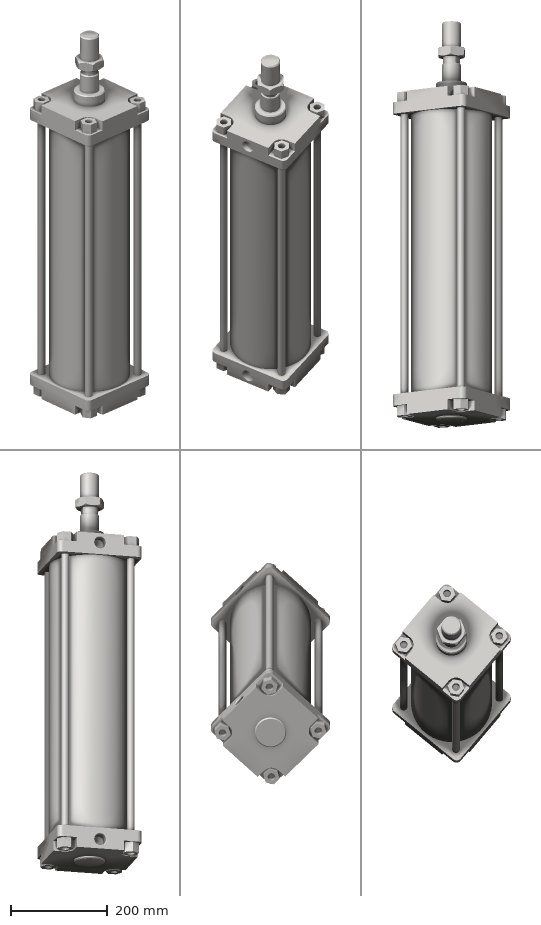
import cadquery as cq
import math

total_height = 835.0
bottom_boss_height = 4.0
cap_height = 45.0
barrel_length = 589.5
rear_cap_top = bottom_boss_height + cap_height
front_cap_bottom = rear_cap_top + barrel_length
front_cap_top = front_cap_bottom + cap_height

cap_side = 180.0
cap_corner_radius = 11.0
boss_diameter = 65.0
top_boss_height = 24.0
boss_chamfer = 2.1
pocket_radius = 20.0
pocket_depth = 21.0

port_diameter = 24.0
port_rim_chamfer = 1.25
port_depth = 21.0
port_tip_angle = 118.0
port_offset = 20.0

barrel_diameter = 168.0

tie_rod_diameter = 16.0
tie_rod_offset = 70.0
head_width = 30.0
head_hole_diameter = 16.0
head_hole_depth = 13.0

rod_diameter = 40.0
rod_tip_chamfer = 2.5
neck_diameter = 36.0
neck_flat_width = 32.0
neck_bottom = 748.0

nut_bottom = 762.0
nut_height = 19.0
nut_width = 53.5
nut_chamfer_angle = 35.0

SQRT3 = math.sqrt(3)
half_hexagon_step = 30
corner_signs = [(sx, sy) for sx in (-1, 1) for sy in (-1, 1)]


def cylinder(diameter, bottom, height):
    """Upright cylinder on the Z axis."""
    return cq.Workplane("XY").workplane(offset=bottom).circle(diameter / 2).extrude(height)


def hexagon(width, bottom, height):
    """Upright hexagonal prism with two flats facing +X and -X."""
    corner_diameter = 2 * width / SQRT3
    prism = cq.Workplane("XY").polygon(6, corner_diameter).extrude(height)
    return prism.rotate((0, 0, 0), (0, 0, 1), half_hexagon_step).translate((0, 0, bottom))


def corner_pocket(sign_x, sign_y):
    """Recess at one cap corner, open to both sides and rounded around the tie rod."""
    reach = cap_side / 2 - tie_rod_offset + pocket_radius
    middle = (cap_side - reach) / 2
    pocket = cq.Workplane("XY").rect(reach, reach).extrude(pocket_depth)
    pocket = pocket.edges("|Z and <X and <Y").fillet(pocket_radius)
    direction = math.degrees(math.atan2(sign_y, sign_x))
    return pocket.translate((middle, middle, 0)).rotate((0, 0, 0), (0, 0, 1), direction - 45)


def port(height):
    """Blind drilled hole with a bevelled rim and a conical tip, entering from the -X side."""
    radius = port_diameter / 2
    tip_depth = radius / math.tan(math.radians(port_tip_angle / 2))
    face_x = -cap_side / 2
    profile = [
        (face_x, height),
        (face_x, height + radius + port_rim_chamfer),
        (face_x + port_rim_chamfer, height + radius),
        (face_x + port_depth, height + radius),
        (face_x + port_depth + tip_depth, height),
    ]
    half_section = cq.Workplane("XZ").polyline(profile).close()
    return half_section.revolve(360, (0, height, 0), (1, height, 0))


def end_cap(boss_height):
    """Cap with its outer face and boss upward; the inner face lies at Z = 0."""
    cap = cq.Workplane("XY").rect(cap_side, cap_side).extrude(cap_height)
    cap = cap.edges("|Z").fillet(cap_corner_radius)
    boss = cylinder(boss_diameter, cap_height, boss_height).faces(">Z").chamfer(boss_chamfer)
    cap = cap.union(boss)
    for sign_x, sign_y in corner_signs:
        cap = cap.cut(corner_pocket(sign_x, sign_y).translate((0, 0, cap_height - pocket_depth)))
        tie_rod_hole = cylinder(tie_rod_diameter, 0, cap_height)
        cap = cap.cut(tie_rod_hole.translate((sign_x * tie_rod_offset, sign_y * tie_rod_offset, 0)))
    return cap.cut(port(cap_height - port_offset))


def make_front_cap():
    """Upper cap, bored through for the piston rod."""
    cap = end_cap(top_boss_height).cut(cylinder(rod_diameter, 0, cap_height + top_boss_height))
    return cap.translate((0, 0, front_cap_bottom))


def make_rear_cap():
    """Lower cap, the same plate facing down with a short boss."""
    cap = end_cap(bottom_boss_height).mirror("XY")
    return cap.translate((0, 0, rear_cap_top))


def make_tie_rod(lower_head_turn):
    """Rod through both caps with a hollow hexagonal head at each end."""
    upper_seat = front_cap_top - pocket_depth
    rod = cylinder(tie_rod_diameter, bottom_boss_height, front_cap_top - bottom_boss_height)
    upper_head = hexagon(head_width, upper_seat, pocket_depth)
    lower_head = hexagon(head_width, bottom_boss_height, pocket_depth)
    rod = rod.union(upper_head).union(lower_head.rotate((0, 0, 0), (0, 0, 1), lower_head_turn))
    for hole_bottom in (bottom_boss_height, front_cap_top - head_hole_depth):
        rod = rod.cut(cylinder(head_hole_diameter, hole_bottom, head_hole_depth))
    return rod


def make_piston_rod():
    """Rod resting on the barrel end, with a flatted neck under the lock nut."""
    lower = cylinder(rod_diameter, front_cap_bottom, neck_bottom - front_cap_bottom)
    lower = lower.faces(">Z").chamfer((rod_diameter - neck_diameter) / 2)
    neck = cylinder(neck_diameter, neck_bottom, nut_bottom - neck_bottom)
    flats = cq.Workplane("XY").box(rod_diameter, neck_flat_width, total_height, centered=(True, True, False))
    neck = neck.intersect(flats)
    upper = cylinder(rod_diameter, nut_bottom, total_height - nut_bottom)
    upper = upper.faces(">Z").chamfer(rod_tip_chamfer)
    return lower.union(neck).union(upper)


def make_lock_nut():
    """Hexagonal nut on the rod, its corners bevelled at both ends."""
    corner_radius = nut_width / SQRT3
    bevel_width = corner_radius - nut_width / 2
    bevel_height = bevel_width * math.tan(math.radians(nut_chamfer_angle))
    envelope = cylinder(2 * corner_radius, nut_bottom, nut_height)
    envelope = envelope.faces(">Z").chamfer(bevel_height, bevel_width)
    envelope = envelope.faces("<Z").chamfer(bevel_height, bevel_width)
    nut = hexagon(nut_width, nut_bottom, nut_height).intersect(envelope)
    return nut.cut(cylinder(rod_diameter, nut_bottom, nut_height))


barrel = cylinder(barrel_diameter, rear_cap_top, barrel_length)
front_cap = make_front_cap()
rear_cap = make_rear_cap()
piston_rod = make_piston_rod()
lock_nut = make_lock_nut()
tie_rods = []
for sign_x, sign_y in corner_signs:
    lower_head_turn = half_hexagon_step if (sign_x, sign_y) == (-1, -1) else 0
    tie_rod = make_tie_rod(lower_head_turn)
    tie_rods.append(tie_rod.translate((sign_x * tie_rod_offset, sign_y * tie_rod_offset, 0)))

result = cq.Compound.makeCompound([
    barrel.val(),
    front_cap.val(),
    rear_cap.val(),
    piston_rod.val(),
    lock_nut.val(),
    *[rod.val() for rod in tie_rods],
])